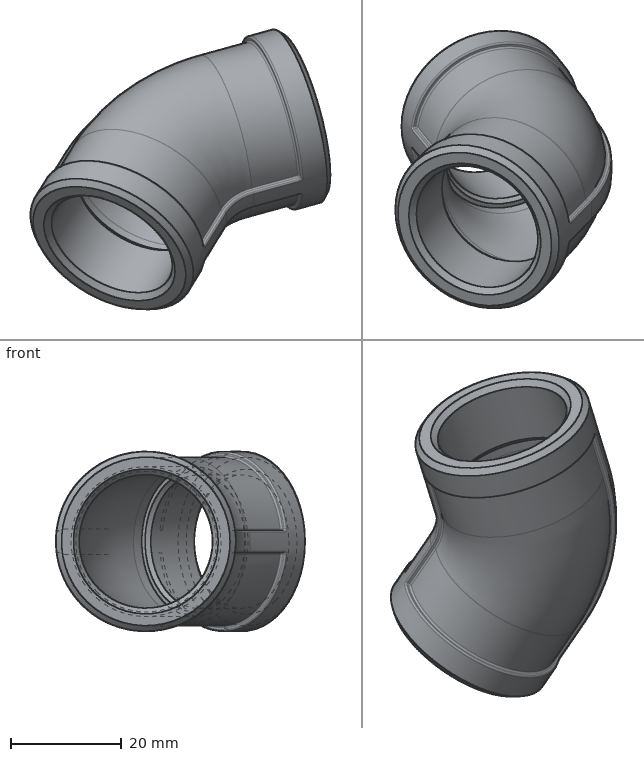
import cadquery as cq
import math

bend_angle = 45.0
leg_length = 15.15
bend_radius = 25.0

collar_diameter = 32.5
collar_length = 6.0
collar_chamfer = 1.05
sleeve_diameter = 30.5
rib_width = 4.0
edge_fillet = 0.3

thread_diameter = 24.1
mouth_chamfer = 1.05
cavity_diameter = 27.1
thread_length = 13.0
inner_cone_depth = 0.65
inner_cone_length = 0.8

pocket_clearance = 1.1
part_span = 4 * (leg_length + bend_radius)
tolerance = 0.005

angle = math.radians(bend_angle)
bend_start = cq.Vector(0, leg_length, 0)
bend_end = bend_start + cq.Vector(1 - math.cos(angle), math.sin(angle), 0) * bend_radius
far_direction = cq.Vector(math.sin(angle), math.cos(angle), 0)
far_face = bend_end + far_direction * leg_length

near_socket = cq.Plane(origin=(0, 0, 0), xDir=(1, 0, 0), normal=(0, 1, 0))
far_socket = cq.Plane(
    origin=far_face,
    xDir=cq.Vector(math.cos(angle), -math.sin(angle), 0),
    normal=far_direction * -1,
)
sockets = (near_socket, far_socket)


def elbow_rod(diameter, end_gap):
    """Round rod along the elbow centreline, stopping end_gap short of each socket face."""
    radius = diameter / 2
    rod = (
        cq.Workplane("XZ", origin=bend_start.toTuple())
        .circle(radius)
        .revolve(bend_angle, (bend_radius, 0.55, 0), (bend_radius, 0, 0))
    )
    for socket in sockets:
        leg = cq.Workplane(socket).workplane(offset=end_gap).circle(radius).extrude(leg_length - end_gap)
        rod = rod.union(leg)
    return rod


def sleeve_pocket():
    """Cutter above the ribs that thins the wall from the collars down to the sleeve."""
    outside = elbow_rod(collar_diameter + 2 * pocket_clearance, collar_length)
    inside = elbow_rod(sleeve_diameter, collar_length - pocket_clearance)
    above_rib = (
        cq.Workplane("XY")
        .workplane(offset=rib_width / 2)
        .rect(part_span, part_span)
        .extrude(collar_diameter)
    )
    return outside.cut(inside).intersect(above_rib)


def is_pocket_edge(edge):
    """True for the pocket edges; false for the seams between the legs and the bend."""
    ends_and_middle = [edge.positionAt(t) for t in (0, 0.5, 1)]
    beyond_rib = all(abs(p.z) > rib_width / 2 - tolerance for p in ends_and_middle)
    top = ends_and_middle[1]
    top_on_axis = cq.Vector(top.x, top.y, 0)
    on_seam = any((top_on_axis - seam).Length < tolerance for seam in (bend_start, bend_end))
    return beyond_rib and not on_seam


def thread_bore(socket):
    """Cutter for one socket: mouth chamfer, thread bore and the cone at its inner end."""
    radius = thread_diameter / 2
    half_profile = [
        (0, 0),
        (radius + mouth_chamfer, 0),
        (radius, mouth_chamfer),
        (radius, thread_length - inner_cone_length),
        (radius + inner_cone_depth, thread_length),
        (0, thread_length),
    ]
    axial_plane = cq.Plane(
        origin=socket.origin,
        xDir=socket.xDir,
        normal=socket.xDir.cross(socket.zDir),
    )
    return cq.Workplane(axial_plane).polyline(half_profile).close().revolve(360, (0, 0), (0, 1))


pocket = sleeve_pocket()
body = elbow_rod(collar_diameter, 0).cut(pocket).cut(pocket.mirror("XY"))
pocket_edges = [edge for edge in body.edges().vals() if is_pocket_edge(edge)]
body = body.newObject(pocket_edges).fillet(edge_fillet)

for socket in sockets:
    rim = body.faces(cq.selectors.NearestToPointSelector(socket.origin.toTuple())).edges()
    body = rim.chamfer(collar_chamfer)

body = body.cut(elbow_rod(cavity_diameter, thread_length))
for socket in sockets:
    body = body.cut(thread_bore(socket))

result = body